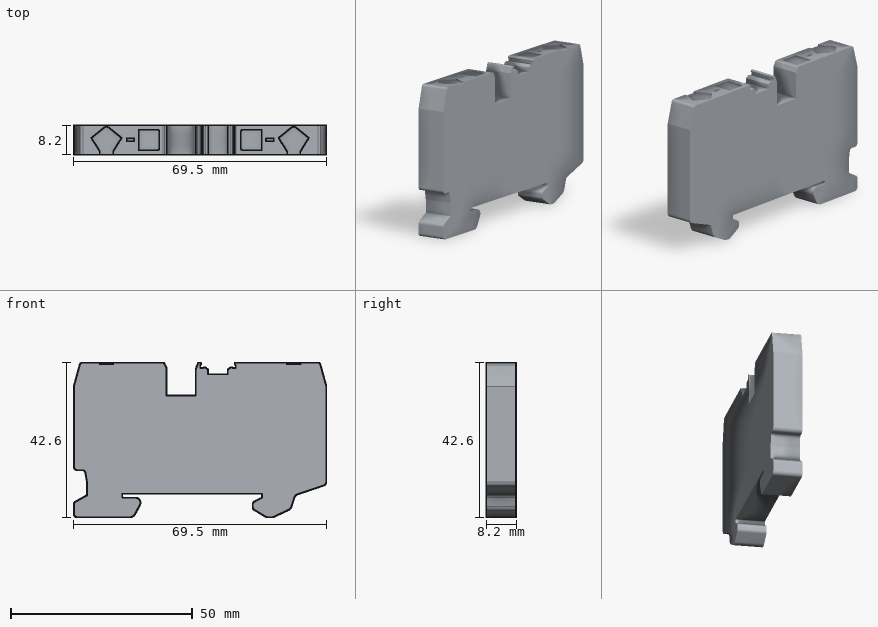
import cadquery as cq
import math

length = 69.5
thickness = 8.2
height = 42.6
mid_x = length / 2

shoulder_z = 36.1
top_inset = 1.8
top_corner_radius = 0.8
left_step_z = 12.95
left_step_radius = 1.0
right_wall_foot_z = 9.0

slot_left = 25.55
slot_right = 33.5
slot_floor_z = 33.6
slot_lip_width = 0.75
slot_lip_z = 41.1
slot_lip_radius = 0.45

groove_mid_x = 39.65
groove_half_floor = 2.7
groove_floor_z = 39.4
groove_shoulder_z = 40.7
ridge_offset = 3.7
ridge_z = 41.45
ridge_radius = 0.35
undercut_floor_z = 41.1
undercut_inner_offset = 4.15
undercut_outer_offset = 4.85
hook_root_z = 41.9
hook_tip_offset = 4.6
hook_tip_z = 42.1
hook_radius = 0.3
hook_back_offset = 5.45
hook_back_radius = 0.5

rail_left = 13.4
rail_right = 51.75
rail_roof_z = 6.5
rail_ledge_z = 5.45
rail_corner_radius = 0.2

right_wall_corner_radius = 1.2
heel_x = 60.9
heel_z = 6.1
heel_radius = 1.2
ankle_x = 59.7
ankle_z = 2.3
ankle_radius = 1.8
right_sole_start = 53.0
right_sole_end = 54.75
right_sole_radius = 2.0
right_tip_x = 49.2
right_tip_bottom_z = 2.3
right_tip_top_z = 4.15
right_tip_radius = 0.9

left_tip_x = 19.3
left_tip_radius = 1.4
left_sole_end = 16.4
left_sole_radius = 1.8
left_toe_z = 4.1
left_toe_radius = 1.0
waist_x = 3.6
waist_bottom_z = 6.1
waist_top_z = 9.8
left_step_x = 3.05
left_step_inner_radius = 0.7

pocket_depth = 0.45
pentagon_offset = 25.75
pentagon_half_width = 4.15
pentagon_side_y = 4.65
pentagon_apex_y = 8.05
pentagon_apex_radius = 1.2
pentagon_neck_half_width = 1.8
pentagon_neck_y = 0.9
square_center_offset = 14.05
square_center_y = 4.1
square_size = 5.75
square_corner_radius = 0.7
bar_center_offset = 19.15
bar_center_y = 4.2
bar_length = 2.15
bar_width = 0.85
bar_corner_radius = 0.3


def rounded_outline(plane, corners):
    """Closed outline through (u, v, radius) corners, each rounded by a tangent arc."""
    count = len(corners)
    outline = None
    for i in range(count):
        u, v, radius = corners[i]
        corner = cq.Vector(u, v)
        before = (cq.Vector(*corners[i - 1][:2]) - corner).normalized()
        after = (cq.Vector(*corners[(i + 1) % count][:2]) - corner).normalized()
        half_angle = before.getAngle(after) / 2
        setback = radius / math.tan(half_angle)
        arc_start = corner + before * setback
        if outline is None:
            outline = cq.Workplane(plane).moveTo(arc_start.x, arc_start.y)
        else:
            outline = outline.lineTo(arc_start.x, arc_start.y)
        if radius > 0:
            bisector = (before + after).normalized()
            arc_mid = corner + bisector * (radius / math.sin(half_angle) - radius)
            arc_end = corner + after * setback
            outline = outline.threePointArc((arc_mid.x, arc_mid.y), (arc_end.x, arc_end.y))
    return outline.close()


def groove_half():
    """Corners of the right half of the marker groove, from its floor up to the hook."""
    return [
        (groove_half_floor, groove_floor_z, 0),
        (groove_half_floor, groove_shoulder_z, 0),
        (ridge_offset, ridge_z, ridge_radius),
        (undercut_inner_offset, undercut_floor_z, 0),
        (undercut_outer_offset, undercut_floor_z, 0),
        (undercut_outer_offset, hook_root_z, 0),
        (hook_tip_offset, hook_tip_z, 0),
    ]


def top_edge():
    """Corners along the top of the body, from the left shoulder to the right one."""
    groove_right = [(groove_mid_x + x, z, r) for x, z, r in groove_half()]
    groove_left = [(groove_mid_x - x, z, r) for x, z, r in reversed(groove_half())]
    return [
        (0, shoulder_z, 0),
        (top_inset, height, top_corner_radius),
        (slot_left - slot_lip_width, height, slot_lip_radius),
        (slot_left, slot_lip_z, 0),
        (slot_left, slot_floor_z, 0),
        (slot_right, slot_floor_z, 0),
        (slot_right, groove_shoulder_z, 0),
        (groove_mid_x - hook_back_offset, height, hook_back_radius),
        (groove_mid_x - hook_tip_offset, height, hook_radius),
        *groove_left,
        *groove_right,
        (groove_mid_x + hook_tip_offset, height, hook_radius),
        (length - top_inset, height, top_corner_radius),
        (length, shoulder_z, 0),
    ]


def right_foot():
    """Corners of the slanted right foot, from the right wall to the rail recess."""
    return [
        (length, right_wall_foot_z, right_wall_corner_radius),
        (heel_x, heel_z, heel_radius),
        (ankle_x, ankle_z, ankle_radius),
        (right_sole_end, 0, right_sole_radius),
        (right_sole_start, 0, right_sole_radius),
        (right_tip_x, right_tip_bottom_z, right_tip_radius),
        (right_tip_x, right_tip_top_z, right_tip_radius),
        (rail_right, rail_ledge_z, rail_corner_radius),
        (rail_right, rail_roof_z, rail_corner_radius),
    ]


def left_foot():
    """Corners of the left foot, from the rail recess back up to the left wall."""
    return [
        (rail_left, rail_roof_z, 0),
        (rail_left, rail_ledge_z, rail_corner_radius),
        (left_tip_x, rail_ledge_z, left_tip_radius),
        (left_sole_end, 0, left_sole_radius),
        (0, 0, left_toe_radius),
        (0, left_toe_z, left_toe_radius),
        (waist_x, waist_bottom_z, 0),
        (waist_x, waist_top_z, 0),
        (left_step_x, left_step_z, left_step_inner_radius),
        (0, left_step_z, left_step_radius),
    ]


def make_body():
    corners = top_edge() + right_foot() + left_foot()
    return rounded_outline("XZ", corners).extrude(-thickness)


def rectangle_pocket(center_x, center_y, size_x, size_y, radius):
    """Corners of a rectangle whose two corners on the +X side are rounded."""
    left = center_x - size_x / 2
    right = center_x + size_x / 2
    bottom = center_y - size_y / 2
    top = center_y + size_y / 2
    return [(left, bottom, 0), (right, bottom, radius), (right, top, radius), (left, top, 0)]


def pentagon_pocket(center_x):
    """Corners of a pentagon whose neck runs out through the Y = 0 face."""
    neck_left = center_x - pentagon_neck_half_width
    neck_right = center_x + pentagon_neck_half_width
    return [
        (neck_left, 0, 0),
        (neck_right, 0, 0),
        (neck_right, pentagon_neck_y, 0),
        (center_x + pentagon_half_width, pentagon_side_y, 0),
        (center_x, pentagon_apex_y, pentagon_apex_radius),
        (center_x - pentagon_half_width, pentagon_side_y, 0),
        (neck_left, pentagon_neck_y, 0),
    ]


def make_pockets():
    """Pockets of the left half together with their mirror images."""
    top_plane = cq.Plane(origin=(mid_x, 0, height))
    pentagon = pentagon_pocket(-pentagon_offset)
    square = rectangle_pocket(
        -square_center_offset, square_center_y, square_size, square_size, square_corner_radius
    )
    bar = rectangle_pocket(-bar_center_offset, bar_center_y, bar_length, bar_width, bar_corner_radius)
    pockets = cq.Workplane(top_plane)
    for corners in (pentagon, square, bar):
        pocket = rounded_outline(top_plane, corners).extrude(-pocket_depth)
        pockets = pockets.add(pocket).add(pocket.mirror("YZ", (mid_x, 0, 0)))
    return pockets.vals()


result = make_body()
for pocket in make_pockets():
    result = result.cut(cq.Workplane(pocket))